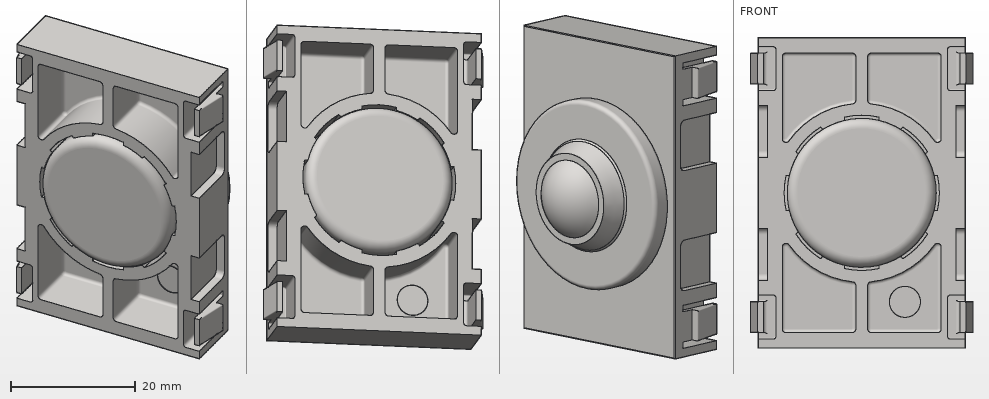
import cadquery as cq


housing_width = 33.4
housing_height = 50.0
housing_depth = 9.9
back_edge_chamfer = 0.15

cup_radius = 12.0
cup_protrusion = 1.05
cup_edge_fillet = 1.65
flange_radius = 15.5
flange_thickness = 3.3
flange_fillet = 0.75
collar_base_radius = 8.9
collar_top_radius = 7.45
collar_height = 3.55
collar_foot_chamfer = 0.3
collar_lip_height = 0.4
collar_lip_inset = 0.15
ball_radius = 7.95
ball_top = 19.9

notch_count = 8
notch_width = 5.6
notch_radius = 12.5

pocket_depth = 8.5
pocket_outer_x = 12.8
pocket_outer_z = 22.5
rib_half_thickness = 0.95
pocket_arc_radius = 14.4
pocket_floor_fillet = 0.55
pocket_corner_fillet = 0.6
mark_diameter = 5.0
mark_depth = 0.1
mark_x = 6.95
mark_z = -17.55

recess_center_z = 9.9
recess_height = 8.35
recess_inset = 1.5
recess_depth = 8.55
recess_corner_radius = 1.0

clip_center_z = 20.0
cavity_height = 7.1
cavity_inset = 2.9
cavity_depth = 8.0
cavity_corner_fillet = 0.5
cavity_floor_fillet = 0.2
clip_width = 5.0
clip_inner_x = 15.8
clip_root_fillet = 0.6
barb_tip_x = 16.75
barb_reach = 18.0
barb_back_y = 5.8
barb_edge_fillet = 0.2

half_width = housing_width / 2
clip_z_range = (clip_center_z - clip_width / 2, clip_center_z + clip_width / 2)
SIDES = (-1, 1)


def box(x_range, y_range, z_range):
    """Axis-aligned box between pairs of coordinates."""
    sizes = [abs(r[1] - r[0]) for r in (x_range, y_range, z_range)]
    corner = [min(r) for r in (x_range, y_range, z_range)]
    return cq.Workplane("XY").box(*sizes, centered=False).translate(tuple(corner))


def front_cylinder(radius, y_start, y_end):
    """Cylinder along Y between two Y positions."""
    return cq.Workplane("XZ", origin=(0, y_start, 0)).circle(radius).extrude(y_start - y_end)


def make_pocket():
    """Pocket in the +X +Z corner: two outer walls, the centre rib and an arc around the cup."""
    pocket = box(
        (rib_half_thickness, pocket_outer_x), (0, pocket_depth), (0, pocket_outer_z)
    ).cut(front_cylinder(pocket_arc_radius, 0, pocket_depth))
    pocket = pocket.edges("|Y").fillet(pocket_corner_fillet)
    return pocket.faces(">Y").edges().fillet(pocket_floor_fillet)


def make_notches():
    """Round-bottomed notches spread evenly around the cup bore."""
    notches = cq.Workplane("XY")
    for i in range(notch_count):
        notch = box((-notch_width / 2, notch_width / 2), (0, housing_depth), (0, notch_radius))
        notches = notches.add(notch.rotate((0, 0, 0), (0, 1, 0), i * 360 / notch_count))
    return notches.combine().intersect(front_cylinder(notch_radius, 0, housing_depth))


def make_side_recess():
    """Shallow recess in the +X side, open to the front, at positive Z."""
    half = recess_height / 2
    recess = box(
        (half_width - recess_inset, half_width),
        (0, recess_depth),
        (recess_center_z - half, recess_center_z + half),
    )
    return recess.faces(">Y").edges("|X").fillet(recess_corner_radius)


def make_clip_cavity():
    """Cavity on three sides of a snap clip in the +X side, open to the front, at positive Z.

    The tongue of the clip is the part of the housing that the cavity leaves standing.
    """
    half = cavity_height / 2
    cavity = box(
        (half_width - cavity_inset, half_width),
        (0, cavity_depth),
        (clip_center_z - half, clip_center_z + half),
    )
    cavity = cavity.faces("<X").edges("|Y").fillet(cavity_corner_fillet)
    tongue = box((clip_inner_x, half_width), (0, cavity_depth), clip_z_range)
    cavity = cavity.cut(tongue)
    root_edge = cq.selectors.NearestToPointSelector((clip_inner_x, cavity_depth, clip_center_z))
    cavity = cavity.edges(root_edge).fillet(clip_root_fillet)
    return cavity.faces(">Y").edges("not(>X)").fillet(cavity_floor_fillet)


def make_barb():
    """Wedge on the outside of the +X snap clip, with its three outer edges rounded."""
    profile = [
        (half_width, 0),
        (barb_tip_x, 0),
        (barb_reach, barb_back_y),
        (half_width, barb_back_y),
    ]
    wedge = cq.Workplane("XY", origin=(0, 0, clip_z_range[0])).polyline(profile).close()
    wedge = wedge.extrude(clip_width)
    return wedge.faces(">X").edges("not(<Y)").fillet(barb_edge_fillet)


def four_copies(feature):
    """The feature mirrored into all four quadrants of the front face."""
    copies = []
    for side_x in SIDES:
        for side_z in SIDES:
            copy = feature
            if side_x < 0:
                copy = copy.mirror("YZ")
            if side_z < 0:
                copy = copy.mirror("XY")
            copies.append(copy)
    return copies


def make_housing():
    body = box(
        (-half_width, half_width), (0, housing_depth), (-housing_height / 2, housing_height / 2)
    )
    body = body.faces(">Y").edges().chamfer(back_edge_chamfer)
    body = body.cut(front_cylinder(cup_radius, 0, housing_depth))
    body = body.cut(make_notches())
    for feature in (make_pocket(), make_side_recess(), make_clip_cavity()):
        for copy in four_copies(feature):
            body = body.cut(copy)
    for barb in four_copies(make_barb()):
        body = body.union(barb)
    mark = front_cylinder(mark_diameter / 2, pocket_depth, pocket_depth + mark_depth)
    return body.cut(mark.translate((mark_x, 0, mark_z)))


def make_ball_unit():
    """Cup, flange, conical collar and ball as one turned body."""
    flange_top = housing_depth + flange_thickness
    collar_top = flange_top + collar_height
    cup = front_cylinder(cup_radius, -cup_protrusion, housing_depth)
    cup = cup.faces("<Y").edges().fillet(cup_edge_fillet)
    flange = front_cylinder(flange_radius, housing_depth, flange_top).edges().fillet(flange_fillet)
    collar_profile = [
        (0, flange_top),
        (collar_base_radius + collar_foot_chamfer, flange_top),
        (collar_base_radius, flange_top + collar_foot_chamfer),
        (collar_top_radius + collar_lip_inset, collar_top - collar_lip_height),
        (collar_top_radius, collar_top),
        (0, collar_top),
    ]
    collar = cq.Workplane("XY").polyline(collar_profile).close().revolve(360, (0, 0, 0), (0, 1, 0))
    ball = cq.Workplane("XY").sphere(ball_radius).translate((0, ball_top - ball_radius, 0))
    return cup.union(flange).union(collar).union(ball)


housing = make_housing().solids()
ball_unit = make_ball_unit().solids()
result = cq.Compound.makeCompound([housing.val(), ball_unit.val()])